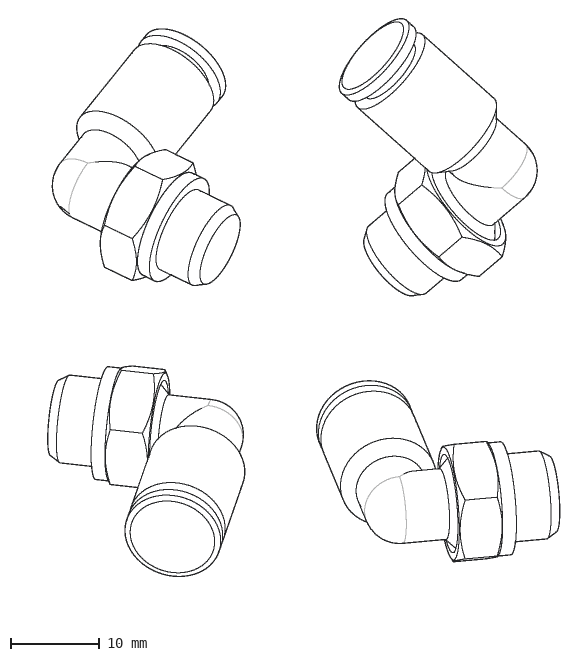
import cadquery as cq
import math


pipe_radius = 4.0
shoulder_start = 4.97

sleeve_radius = 5.51
shoulder_end = shoulder_start + sleeve_radius - pipe_radius
sleeve_end = 18.02
collar_start = 19.45
collar_edge = 20.58
arm_end = 20.8
collar_face_radius = 4.85

hex_flats = 13.0
hex_corners = hex_flats / math.cos(math.pi / 6)
hex_start = 5.62
hex_end = 10.6
hex_face_radius = 6.4
hex_bevel = (hex_corners / 2 - hex_face_radius) * math.tan(math.pi / 6)
recess_radius = 5.57
flange_radius = 6.42
flange_end = 12.18
thread_radius = 5.0
thread_tip_radius = 4.3
thread_bevel_start = 16.43
thread_end = 17.58


def turned(profile):
    """Revolve a profile of (radius, distance along the axis) points about the Y axis."""
    return cq.Workplane("XY").polyline(profile).close().revolve(360, (0, 0, 0), (0, 1, 0))


def along_x(body):
    """Swing a body from the +Y axis to the +X axis."""
    return body.rotate((0, 0, 0), (0, 0, 1), -90)


tube_arm = turned([
    (0, 0),
    (pipe_radius, 0),
    (pipe_radius, shoulder_start),
    (sleeve_radius, shoulder_end),
    (sleeve_radius, sleeve_end),
    (pipe_radius, sleeve_end),
    (pipe_radius, collar_start),
    (sleeve_radius, collar_start),
    (sleeve_radius, collar_edge),
    (collar_face_radius, arm_end),
    (0, arm_end),
])

thread_arm = along_x(turned([
    (0, 0),
    (pipe_radius, 0),
    (pipe_radius, shoulder_start),
    (sleeve_radius, shoulder_end),
    (sleeve_radius, hex_end),
    (flange_radius, hex_end),
    (flange_radius, flange_end),
    (thread_radius, flange_end),
    (thread_radius, thread_bevel_start),
    (thread_tip_radius, thread_end),
    (0, thread_end),
]))


def hex_nut():
    """Hexagon with corners at top and bottom, both ends bevelled and the near face recessed."""
    prism = (
        cq.Workplane("YZ", origin=(hex_start, 0, 0))
        .transformed(rotate=(0, 0, 90))
        .polygon(6, hex_corners)
        .extrude(hex_end - hex_start)
    )
    bevel_envelope = along_x(turned([
        (0, hex_start),
        (hex_face_radius, hex_start),
        (hex_corners / 2, hex_start + hex_bevel),
        (hex_corners / 2, hex_end - hex_bevel),
        (hex_face_radius, hex_end),
        (0, hex_end),
    ]))
    recess = (
        cq.Workplane("YZ", origin=(hex_start, 0, 0))
        .circle(recess_radius)
        .extrude(shoulder_end - hex_start)
    )
    return prism.intersect(bevel_envelope).cut(recess)


elbow_ball = cq.Workplane("XY").sphere(pipe_radius)

result = tube_arm.union(elbow_ball).union(thread_arm.union(hex_nut()))